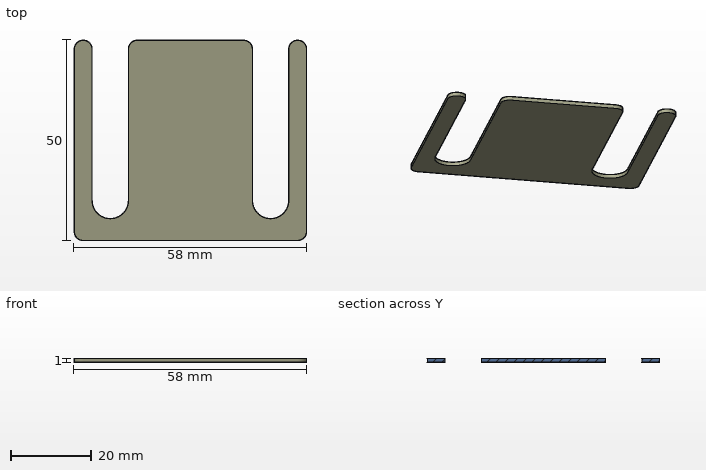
import cadquery as cq

WIDTH = 58.0
LENGTH = 50.0
THICKNESS = 1.0
ARM_WIDTH = 4.5
SLOT_WIDTH = 9.0
BASE_WIDTH = 5.5

CORNER_RADIUS = ARM_WIDTH / 2
SLOT_RADIUS = SLOT_WIDTH / 2
TONGUE_WIDTH = WIDTH - 2 * (ARM_WIDTH + SLOT_WIDTH)
ARM_OFFSET = (WIDTH - ARM_WIDTH) / 2
SLOT_OFFSET = (TONGUE_WIDTH + SLOT_WIDTH) / 2
BOTTOM_Y = -LENGTH / 2
TOP_Y = LENGTH / 2
SLOT_END_Y = BOTTOM_Y + BASE_WIDTH
SLOT_CENTER_Y = SLOT_END_Y + SLOT_RADIUS


def block(center_x, width, low_y, high_y):
    """Rectangular plate piece centred on center_x between two Y limits."""
    return (
        cq.Workplane("XY")
        .center(center_x, (low_y + high_y) / 2)
        .rect(width, high_y - low_y)
        .extrude(THICKNESS)
    )


def base():
    """Bottom strip with rounded outer corners and the round ends of both slots cut in."""
    strip = block(0, WIDTH, BOTTOM_Y, SLOT_CENTER_Y)
    strip = strip.edges("|Z and <Y").fillet(CORNER_RADIUS)
    slot_ends = (
        cq.Workplane("XY")
        .pushPoints([(-SLOT_OFFSET, SLOT_CENTER_Y), (SLOT_OFFSET, SLOT_CENTER_Y)])
        .circle(SLOT_RADIUS)
        .extrude(THICKNESS)
    )
    return strip.cut(slot_ends)


def tongue():
    """Wide centre tongue with rounded top corners."""
    plate = block(0, TONGUE_WIDTH, SLOT_CENTER_Y, TOP_Y)
    return plate.edges("|Z and >Y").fillet(CORNER_RADIUS)


def arm(center_x):
    """Narrow side arm ending in a full round."""
    tip_center_y = TOP_Y - CORNER_RADIUS
    tip = (
        cq.Workplane("XY")
        .center(center_x, tip_center_y)
        .circle(CORNER_RADIUS)
        .extrude(THICKNESS)
    )
    return block(center_x, ARM_WIDTH, SLOT_CENTER_Y, tip_center_y).union(tip)


result = base().union(tongue())
for side in (-1, 1):
    result = result.union(arm(side * ARM_OFFSET))
result = result.clean()